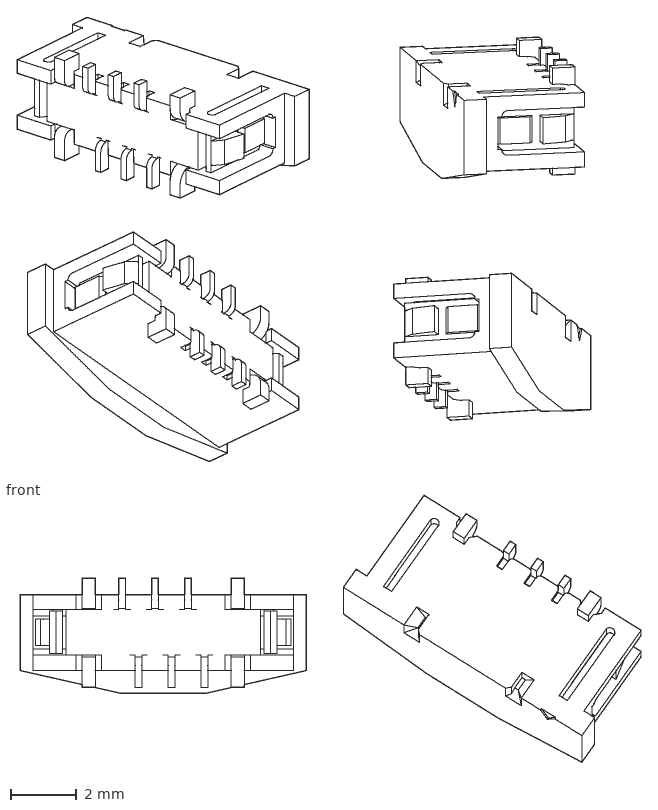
import cadquery as cq
import math


flange_length = 8.7
flange_depth = 0.705
flange_drop = 0.69
flange_flat_half = 1.31
body_length = 7.92
body_height = 2.305
core_half = 2.96
core_depth = 3.64
arm_depth = 3.845
arm_inner = 2.645
top_plate = 0.45
bottom_plate = 0.47

window_back = 1.15
window_throat_half = 0.505
window_throat = 0.12
window_bottom = bottom_plate
window_top = body_height - top_plate
window_mid = (window_bottom + window_top) / 2

slot_inner = 3.05
slot_outer = 3.35
slot_end = 3.41
slot_tip = 0.11

notch_inner = 1.7
notch_outer = 2.14
notch_floor_width = 0.13
notch_depth = top_plate
mouth_depth = 0.305
mouth_flare = 0.13
mouth_drop = 0.22

latch_outer = 3.45
latch_front_inner = 3.26
latch_height = 1.29
latch_bottom = window_mid - latch_height / 2
latch_top = window_mid + latch_height / 2
latch_lead = 0.3
bump_start = 1.175
bump_end = 2.33
bump_outer = 3.64
bump_slope = 0.11
tab_height = 0.81
tab_outer = 3.88
tab_start = 2.575
tab_bend = 3.72
tab_bend_depth = 3.31

mark_x = -3.1
mark_width = 0.52
mark_height = 0.435
mark_depth = 0.05

pitch = 1.0
contact_count = 3
contact_width = 0.21
contact_shift = pitch / 4
contact_front = 3.9
leg_thickness = 0.37
leg_back = contact_front - leg_thickness
leg_rise = 0.505
leg_inset = 0.42
bend_radius = 0.26
foot_thickness = 0.26
foot_back = 3.19
contact_slot_back = 3.16
mouth_radius = 0.15

nail_x = 2.26
nail_width = 0.4
nail_flare = arm_inner - nail_x - nail_width / 2
nail_bend_radius = 0.5


def box(x0, x1, y0, y1, z0, z1):
    return cq.Workplane("XY").box(x1 - x0, y1 - y0, z1 - z0, centered=False).translate((x0, y0, z0))


def prism(points, z0, z1):
    return cq.Workplane("XY").polyline(points).close().extrude(z1 - z0).translate((0, 0, z0))


def both_ends(solid):
    """The -X solid joined with its +X mirror image."""
    return solid.union(solid.mirror("YZ"))


def make_housing():
    half = flange_length / 2
    flange = (
        cq.Workplane("XZ")
        .polyline([
            (-half, body_height), (half, body_height), (half, 0),
            (flange_flat_half, -flange_drop), (-flange_flat_half, -flange_drop), (-half, 0),
        ])
        .close()
        .extrude(flange_depth)
    )
    body = box(-body_length / 2, body_length / 2, -core_depth, 0, 0, body_height)
    arm = box(-body_length / 2, -arm_inner, -arm_depth, -core_depth, 0, body_height)
    relief = box(-core_half, -arm_inner, -arm_depth, -core_depth, window_bottom, window_top)
    return flange.union(body).union(both_ends(arm.cut(relief)))


def make_window():
    shoulder = window_back + window_throat
    corner = (window_top - window_bottom) / 2 - window_throat_half
    arc_mid = corner * (1 - math.sqrt(0.5))
    throat_low = window_mid - window_throat_half
    throat_high = window_mid + window_throat_half
    outline = (
        cq.Workplane("YZ")
        .moveTo(-arm_depth, window_bottom)
        .lineTo(-shoulder - corner, window_bottom)
        .threePointArc((-shoulder - arc_mid, window_bottom + arc_mid), (-shoulder, throat_low))
        .lineTo(-window_back, throat_low)
        .lineTo(-window_back, throat_high)
        .lineTo(-shoulder, throat_high)
        .threePointArc((-shoulder - arc_mid, window_top - arc_mid), (-shoulder - corner, window_top))
        .lineTo(-arm_depth, window_top)
        .close()
    )
    return outline.extrude(body_length / 2 - core_half).translate((-body_length / 2, 0, 0))


def make_top_slot():
    """Slot through the top plate, down to the upper edge of the latch plate."""
    middle = (slot_inner + slot_outer) / 2
    return (
        cq.Workplane("XY")
        .moveTo(-slot_outer, -flange_depth)
        .lineTo(-slot_outer, -slot_end + slot_tip)
        .threePointArc((-middle, -slot_end), (-slot_inner, -slot_end + slot_tip))
        .lineTo(-slot_inner, -flange_depth)
        .close()
        .extrude(body_height - latch_top)
        .translate((0, 0, latch_top))
    )


def make_notch():
    floor_outer = notch_inner + notch_floor_width
    floor = body_height - notch_depth
    channel = (
        cq.Workplane("XZ")
        .polyline([
            (-notch_outer, body_height), (-floor_outer, floor),
            (-notch_inner, floor), (-notch_inner, body_height),
        ])
        .close()
        .extrude(flange_depth)
    )
    edge_chamfer = prism(
        [(-notch_inner, 0), (-notch_inner, -mouth_flare), (-notch_inner + mouth_flare, 0)],
        floor - mouth_drop, body_height,
    )
    lead_in = prism(
        [(-notch_outer, 0), (-floor_outer, -mouth_depth), (-notch_inner, -mouth_depth), (-notch_inner, 0)],
        floor - mouth_drop, body_height,
    ).union(edge_chamfer)
    above_slope = (
        cq.Workplane("YZ")
        .polyline([
            (0, floor - mouth_drop), (-mouth_depth, floor),
            (-mouth_depth, body_height), (0, body_height),
        ])
        .close()
        .extrude(notch_outer)
        .translate((-notch_outer, 0, 0))
    )
    return channel.union(lead_in.intersect(above_slope))


def make_latch():
    plate = prism(
        [
            (-latch_outer, -flange_depth), (-latch_outer, -core_depth),
            (-latch_front_inner, -core_depth), (-slot_inner, -core_depth + latch_lead),
            (-slot_inner, -flange_depth),
        ],
        latch_bottom, latch_top,
    )
    tab_bottom = window_mid - tab_height / 2
    tab_top = window_mid + tab_height / 2
    tab = prism(
        [
            (-latch_outer, -tab_start), (-tab_outer, -tab_start),
            (-tab_bend, -tab_bend_depth), (-latch_outer, -core_depth),
        ],
        tab_bottom, tab_top,
    )
    bump = prism(
        [
            (-latch_outer, -bump_start), (-bump_outer, -bump_start - bump_slope),
            (-bump_outer, -bump_end + bump_slope), (-latch_outer, -bump_end),
        ],
        tab_bottom, tab_top,
    )
    return plate.union(tab).union(bump)


def make_mark():
    """Shallow triangular mark in the back face, opening through the top edge."""
    return (
        cq.Workplane("XZ")
        .polyline([
            (mark_x - mark_width / 2, body_height), (mark_x + mark_width / 2, body_height),
            (mark_x, body_height - mark_height),
        ])
        .close()
        .extrude(mark_depth)
    )


def make_nail_recess(x, plate):
    """Pocket in the top plate for an end nail, with a 45 degree flare at its mouth."""
    half = nail_width / 2
    mouth_half = half + nail_flare
    flare_start = core_depth - nail_flare
    return prism(
        [
            (x - half, -foot_back), (x - half, -flare_start), (x - mouth_half, -core_depth),
            (x + mouth_half, -core_depth), (x + half, -flare_start), (x + half, -foot_back),
        ],
        body_height - plate, body_height,
    )


def make_contact_recess(x, plate):
    """Pocket in the top plate for a contact, with rounded edges at its mouth."""
    half = contact_width / 2
    mouth_half = half + mouth_radius
    round_start = core_depth - mouth_radius
    arc_mid = mouth_radius * (1 - math.sqrt(0.5))
    return (
        cq.Workplane("XY")
        .moveTo(-half, -contact_slot_back)
        .lineTo(-half, -round_start)
        .threePointArc((-half - arc_mid, -core_depth + arc_mid), (-mouth_half, -core_depth))
        .lineTo(mouth_half, -core_depth)
        .threePointArc((half + arc_mid, -core_depth + arc_mid), (half, -round_start))
        .lineTo(half, -contact_slot_back)
        .close()
        .extrude(plate)
        .translate((x, 0, body_height - plate))
    )


def make_leg(x, width, radius, back):
    """Upright leg with its outer bend, reaching from the front of the part to `back`."""
    root = body_height - leg_inset
    tip = body_height + leg_rise
    arc_mid = radius * (1 - math.sqrt(0.5))
    return (
        cq.Workplane("YZ")
        .moveTo(-back, root)
        .lineTo(-contact_front + radius, root)
        .threePointArc((-contact_front + arc_mid, root + arc_mid), (-contact_front, root + radius))
        .lineTo(-contact_front, tip)
        .lineTo(-back, tip)
        .close()
        .extrude(width)
        .translate((x - width / 2, 0, 0))
    )


def make_contact(x):
    """L-shaped contact: a solder leg with a foot running back into its slot.

    The seat closes the gap between the foot and the floor of the recess.
    """
    half = contact_width / 2
    root = body_height - leg_inset
    foot = box(x - half, x + half, -leg_back, -foot_back, root, root + foot_thickness)
    seat = box(x - half, x + half, -core_depth, -foot_back, body_height - bottom_plate, root)
    return make_leg(x, contact_width, bend_radius, leg_back).union(foot).union(seat)


def make_nail(x):
    """Wide end nail: a solid block as deep as the whole contact."""
    radius = nail_bend_radius if x > 0 else bend_radius
    return make_leg(x, nail_width, radius, foot_back)


def make_row(row_shift, plate):
    """Recesses and metal of one row, both laid out for the top of the housing."""
    recesses = cq.Workplane("XY")
    metal = cq.Workplane("XY")
    for x in (-nail_x, nail_x):
        recesses = recesses.add(make_nail_recess(x, plate))
        metal = metal.add(make_nail(x))
    for index in range(contact_count):
        x = row_shift + (index - (contact_count - 1) / 2) * pitch
        recesses = recesses.add(make_contact_recess(x, plate))
        metal = metal.add(make_contact(x))
    return recesses.combine(), metal.combine()


def to_underside(solid):
    """Reflect a shape from the top of the housing to its bottom."""
    return solid.mirror("XY", (0, 0, body_height / 2))


top_recesses, top_metal = make_row(-contact_shift, top_plate)
bottom_recesses, bottom_metal = make_row(contact_shift, bottom_plate)

housing = (
    make_housing()
    .cut(both_ends(make_window()))
    .cut(both_ends(make_top_slot()))
    .cut(both_ends(make_notch()))
    .cut(make_mark())
    .cut(top_recesses)
    .cut(to_underside(bottom_recesses))
)

result = (
    housing
    .union(both_ends(make_latch()))
    .union(top_metal)
    .union(to_underside(bottom_metal))
)